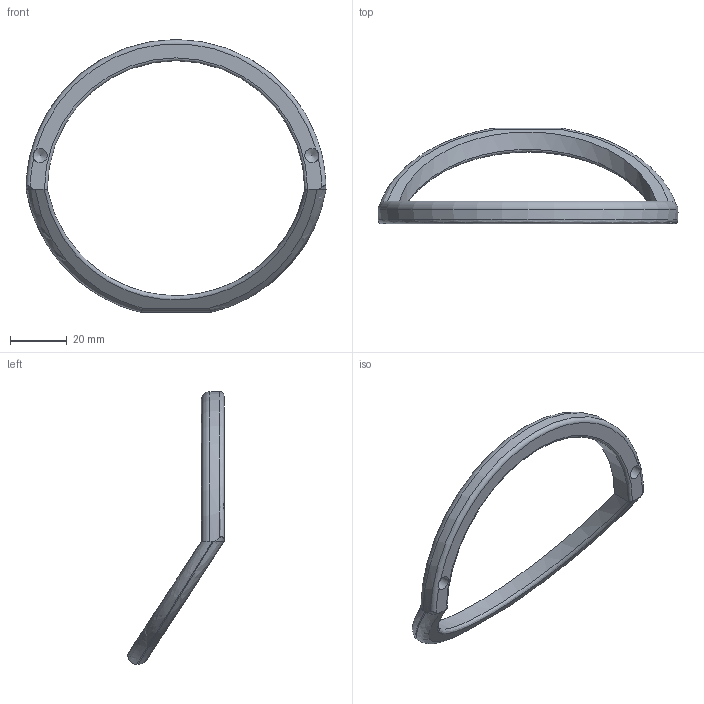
import cadquery as cq
import math

thickness = 8.0
upper_outer_radius = 53.0
upper_inner_radius = 45.5

lower_inner_depth = 37.5
lower_flat_depth = 43.46
lower_tilt = 33.22
lower_inner_radius = (upper_inner_radius**2 + lower_inner_depth**2) / (2 * lower_inner_depth)
lower_center_z = lower_inner_radius - lower_inner_depth
lower_outer_radius = math.hypot(upper_outer_radius, lower_center_z)

back_outer_fillet = 3.0
lower_front_outer_fillet = 3.5
upper_front_outer_fillet = 1.5
front_inner_fillet = 1.0

hole_diameter = 5.0
hole_depth = 5.0
drill_point_angle = 118.0
hole_x = 48.0
hole_z = 12.0

reach = 4 * upper_outer_radius


def disk(radius, center_z, y_start, y_end):
    """Cylinder along Y between two Y positions."""
    plane = cq.Workplane("XZ", origin=(0, y_start, center_z))
    return plane.circle(radius).extrude(y_start - y_end)


def block(z_bottom, z_top):
    """Wide block that covers the whole part between two heights."""
    height = z_top - z_bottom
    return cq.Workplane("XY").box(reach, reach, height).translate((0, 0, z_bottom + height / 2))


def leaning_slab(y_front, y_back):
    """Slab parallel to the lower half, its faces crossing Z = 0 at the two Y positions."""
    run = reach * math.tan(math.radians(lower_tilt))
    side_profile = [
        (y_front - run, reach),
        (y_back - run, reach),
        (y_back + run, -reach),
        (y_front + run, -reach),
    ]
    return cq.Workplane("YZ").polyline(side_profile).close().extrude(reach / 2, both=True)


def facing(direction):
    """Selector for the face of the leaning body that looks along +1 (back) or -1 (front)."""
    tilt = math.radians(lower_tilt)
    normal = cq.Vector(0, math.cos(tilt), math.sin(tilt)) * direction
    return cq.selectors.DirectionMinMaxSelector(normal)


def round_front_bore_edge(body, front_face):
    """Fillet the edge where the bore opens on the front face."""
    bore_edges = body.faces(front_face).val().innerWires()[0].Edges()
    return body.newObject(bore_edges).fillet(front_inner_fillet)


def leaning_body(body_thickness):
    """Solid leaning disk with a flat at its bottom and a rounded front edge."""
    body = disk(lower_outer_radius, lower_center_z, -reach / 2, reach / 2)
    body = body.intersect(leaning_slab(0, body_thickness))
    body = body.intersect(block(-lower_flat_depth, reach / 2))
    return body.faces(facing(-1)).edges().fillet(lower_front_outer_fillet)


def upper_half():
    """Upright half ring with rounded outer edges and front bore edge."""
    body = disk(upper_outer_radius, 0, 0, thickness)
    body = body.faces("<Y").edges().fillet(upper_front_outer_fillet)
    body = body.faces(">Y").edges().fillet(back_outer_fillet)
    bore = disk(upper_inner_radius, 0, 0, thickness)
    body = round_front_bore_edge(body.cut(bore), "<Y")
    body = body.intersect(leaning_body(upper_outer_radius))
    return body.intersect(block(0, reach / 2))


def lower_half():
    """Leaning half ring with rounded outer edges and front bore edge."""
    body = leaning_body(thickness)
    body = body.faces(facing(1)).edges().fillet(back_outer_fillet)
    bore = disk(lower_inner_radius, lower_center_z, -reach / 2, reach / 2)
    body = round_front_bore_edge(body.cut(bore), facing(-1))
    return body.intersect(block(-reach / 2, 0))


def blind_hole(x):
    """Round hole with a conical end, drilled along Y from the front face."""
    radius = hole_diameter / 2
    point_length = radius / math.tan(math.radians(drill_point_angle / 2))
    profile = cq.Workplane("XY").polyline([
        (0, 0),
        (radius, 0),
        (radius, hole_depth),
        (0, hole_depth + point_length),
    ]).close()
    return profile.revolve(360, (0, 0, 0), (0, 1, 0)).translate((x, 0, hole_z))


result = upper_half().union(lower_half())
for side in (-1, 1):
    result = result.cut(blind_hole(side * hole_x))
result = result.solids()